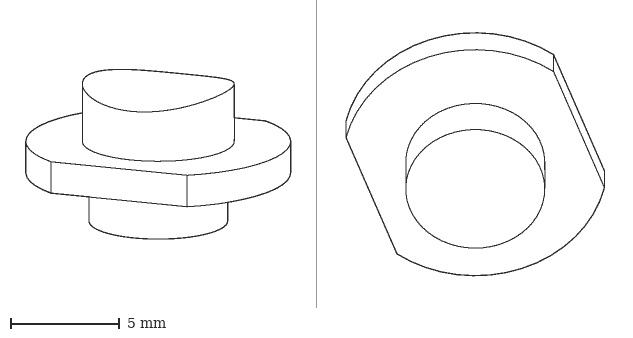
import cadquery as cq

flange_diameter = 12.2
flange_width = 10.2
flange_thickness = 1.5

spigot_diameter = 6.4
spigot_length = 2.3

button_diameter = 7.0
button_height = 2.8
crown_radius = 13.0

flange_top = flange_thickness
button_top = flange_top + button_height
crown_axis_height = button_top - crown_radius


def make_flange():
    disc = cq.Workplane("XY").circle(flange_diameter / 2).extrude(flange_thickness)
    flats = cq.Workplane("XY").rect(flange_diameter, flange_width).extrude(flange_thickness)
    return disc.intersect(flats)


def make_spigot():
    return cq.Workplane("XY").circle(spigot_diameter / 2).extrude(-spigot_length)


def make_button():
    post = (
        cq.Workplane("XY")
        .workplane(offset=flange_top)
        .circle(button_diameter / 2)
        .extrude(button_height)
    )
    crown = (
        cq.Workplane("YZ")
        .center(0, crown_axis_height)
        .circle(crown_radius)
        .extrude(button_diameter, both=True)
    )

    return post.intersect(crown)


result = make_flange().union(make_spigot()).union(make_button())